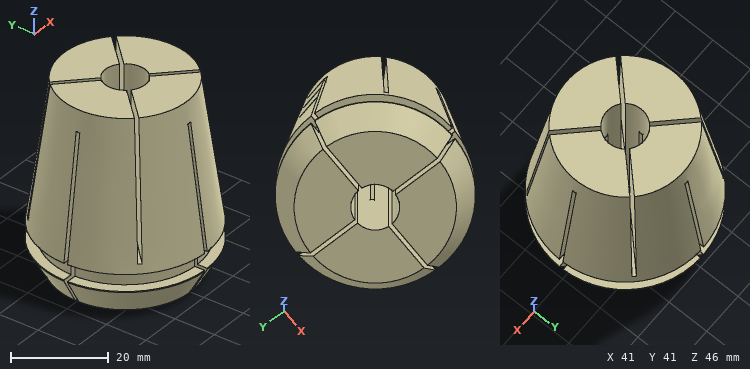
import cadquery as cq
import math

height = 46.0
max_radius = 41.0 / 2
bore_radius = 10.0 / 2

nose_angle = 30.0
land_bottom_z = 6.75
land_top_z = 7.05
nose_radius = max_radius - land_bottom_z * math.tan(math.radians(nose_angle))

neck_radius = 18.0
taper_bottom_z = 11.15
taper_angle = 8.0
taper_height = height - taper_bottom_z
top_radius = max_radius - taper_height * math.tan(math.radians(taper_angle))

slot_width = 0.9
saw_radius = 30.0
slots_per_end = 4
slot_pitch = 360.0 / slots_per_end
lower_saw_offset = 28.4
lower_saw_z = 13.55
upper_saw_offset = 20.25
upper_slot_bottom_z = 13.4
upper_saw_z = upper_slot_bottom_z + saw_radius


def collet_body():
    """Revolved wall between the bore and the stepped outer profile."""
    outline = [
        (bore_radius, 0),
        (nose_radius, 0),
        (max_radius, land_bottom_z),
        (max_radius, land_top_z),
        (neck_radius, land_top_z),
        (neck_radius, taper_bottom_z),
        (max_radius, taper_bottom_z),
        (top_radius, height),
        (bore_radius, height),
    ]
    profile = cq.Workplane("XZ").polyline(outline).close()
    body = profile.revolve(360, (0, 0, 0), (0, 1, 0))
    return body.rotate((0, 0, 0), (0, 0, 1), slot_pitch / 4)


def saw_blade(offset, centre_z, angle):
    """Disc standing in a plane through the axis, turned about Z by angle."""
    blade = (
        cq.Workplane("XZ")
        .center(offset, centre_z)
        .circle(saw_radius)
        .extrude(slot_width / 2, both=True)
    )
    return blade.rotate((0, 0, 0), (0, 0, 1), angle)


result = collet_body()
for index in range(slots_per_end):
    lower_angle = index * slot_pitch
    upper_angle = lower_angle + slot_pitch / 2
    result = result.cut(saw_blade(lower_saw_offset, lower_saw_z, lower_angle))
    result = result.cut(saw_blade(upper_saw_offset, upper_saw_z, upper_angle))